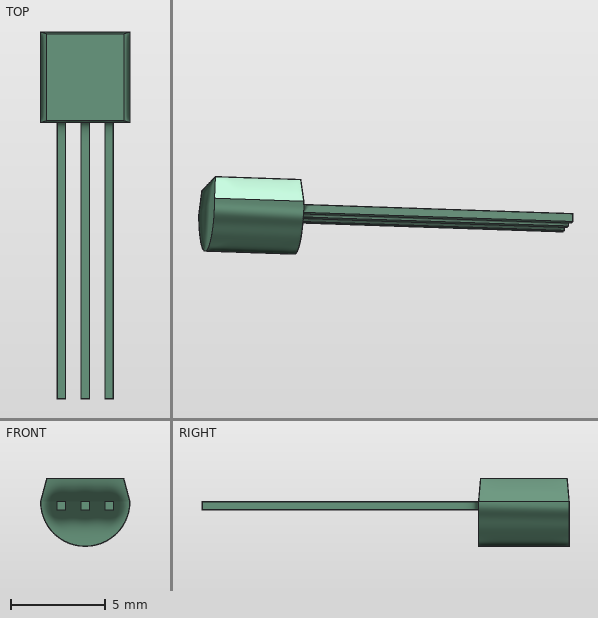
import cadquery as cq
import math


BODY_WIDTH = 4.76
BODY_LENGTH = 4.83
BODY_HEIGHT = 3.62
BODY_RADIUS = BODY_WIDTH / 2
UPPER_HEIGHT = BODY_HEIGHT - BODY_RADIUS

SIDE_DRAFT_DEG = 15.0
END_DRAFT_DEG = 5.0

OVERALL_LENGTH = 19.52
LEAD_LENGTH = OVERALL_LENGTH - BODY_LENGTH
LEAD_WIDTH = 0.46
LEAD_THICKNESS = 0.43
LEAD_PITCH = 1.27
LEAD_COUNT = 3


def make_lower_body():
    """Half cylinder below the parting plane, with its axis along Y."""
    return (
        cq.Workplane("XZ")
        .moveTo(-BODY_RADIUS, 0)
        .threePointArc((0, -BODY_RADIUS), (BODY_RADIUS, 0))
        .close()
        .extrude(-BODY_LENGTH)
    )


def make_upper_body():
    """Block above the parting plane, tapering to the flat top on all four sides."""
    side_inset = UPPER_HEIGHT * math.tan(math.radians(SIDE_DRAFT_DEG))
    end_inset = UPPER_HEIGHT * math.tan(math.radians(END_DRAFT_DEG))
    return (
        cq.Workplane("XY")
        .center(0, BODY_LENGTH / 2)
        .rect(BODY_WIDTH, BODY_LENGTH)
        .workplane(offset=UPPER_HEIGHT)
        .rect(BODY_WIDTH - 2 * side_inset, BODY_LENGTH - 2 * end_inset)
        .loft(ruled=True)
    )


def make_lead(x_center):
    """Straight rectangular lead whose top face lies on the parting plane."""
    return (
        cq.Workplane("XZ")
        .center(x_center, -LEAD_THICKNESS / 2)
        .rect(LEAD_WIDTH, LEAD_THICKNESS)
        .extrude(LEAD_LENGTH)
    )


result = make_lower_body().union(make_upper_body())
for index in range(LEAD_COUNT):
    lead_x = (index - (LEAD_COUNT - 1) / 2) * LEAD_PITCH
    result = result.union(make_lead(lead_x))